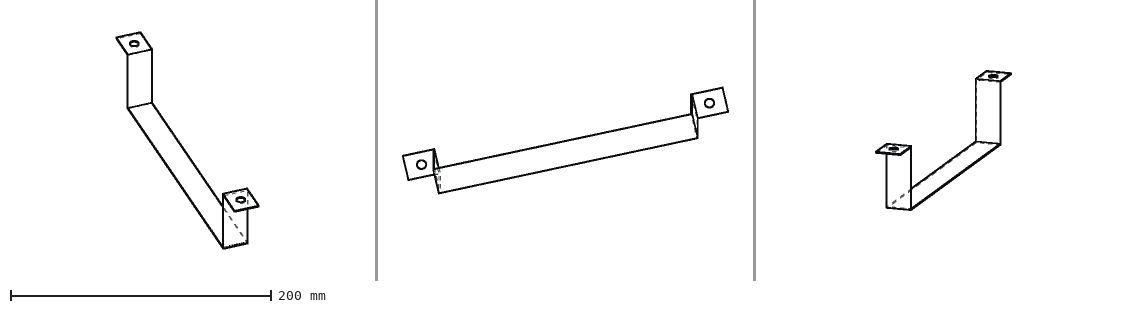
import cadquery as cq

length = 252.0
width = 20.0
height = 51.0
thickness = 1.0
span = 204.0
hole_diameter = 7.0
hole_inset = 12.5

leg_offset = (span - thickness) / 2
flange_length = (length - span) / 2 + thickness
flange_offset = (length - flange_length) / 2
hole_spacing = length - 2 * hole_inset


def plate(size_x, size_z, center_x, bottom_z):
    """Flat piece of the strip, standing on bottom_z and centred on Y."""
    return (
        cq.Workplane("XY", origin=(center_x, 0, bottom_z))
        .box(size_x, width, size_z, centered=(True, True, False))
    )


result = plate(span, thickness, 0, 0)

for side in (-1, 1):
    leg = plate(thickness, height, side * leg_offset, 0)
    flange = plate(flange_length, thickness, side * flange_offset, height - thickness)
    result = result.union(leg).union(flange)

holes = (
    cq.Workplane("XY", origin=(0, 0, height - thickness))
    .pushPoints([(-hole_spacing / 2, 0), (hole_spacing / 2, 0)])
    .circle(hole_diameter / 2)
    .extrude(thickness)
)
result = result.cut(holes)